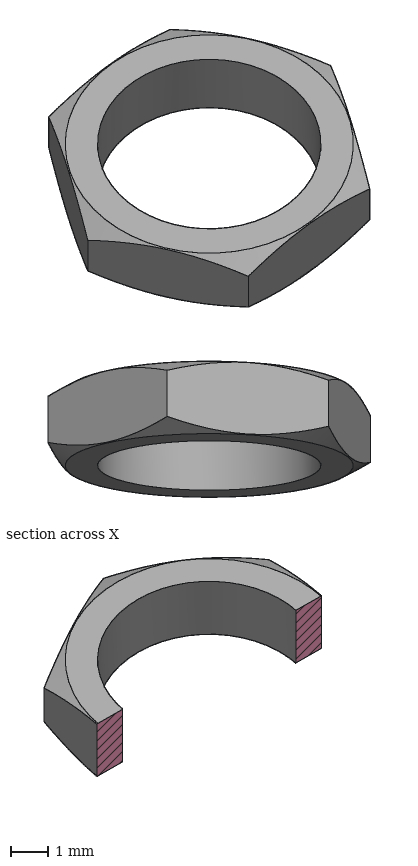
import cadquery as cq
import math

corner_diameter = 9.0
thickness = 2.0
bore_diameter = 6.0
face_circle_diameter = 7.74
chamfer_angle = 30.0

corner_radius = corner_diameter / 2
face_radius = face_circle_diameter / 2
half_thickness = thickness / 2
chamfer_height = (corner_radius - face_radius) * math.tan(math.radians(chamfer_angle))
edge_height = half_thickness - chamfer_height


def hexagon_body():
    """Hexagonal prism centred on the origin, with two corners on the X axis."""
    return cq.Workplane("XY", origin=(0, 0, -half_thickness)).polygon(6, corner_diameter).extrude(thickness)


def chamfer_envelope():
    """Turned disc whose conical rims cut the corners on both faces."""
    half_profile = [
        (0, -half_thickness),
        (face_radius, -half_thickness),
        (corner_radius, -edge_height),
        (corner_radius, edge_height),
        (face_radius, half_thickness),
        (0, half_thickness),
    ]
    return cq.Workplane("XZ").polyline(half_profile).close().revolve(360, (0, 0), (0, 1))


def bore():
    """Round through hole along Z."""
    return cq.Workplane("XY", origin=(0, 0, -half_thickness)).circle(bore_diameter / 2).extrude(thickness)


result = hexagon_body().intersect(chamfer_envelope()).cut(bore())